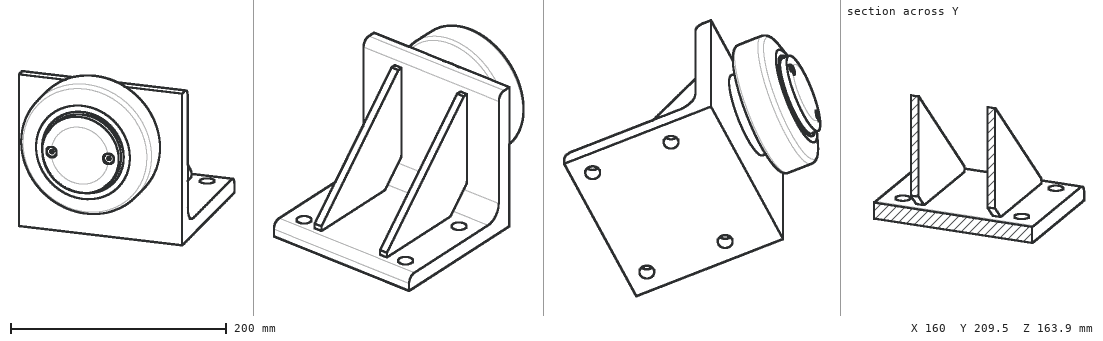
import cadquery as cq
import math

bracket_width = 160.0
leg_length = 150.0
leg_thickness = 16.0
root_radius = 16.0
toe_radius = 8.0

mount_hole_diameter = 13.84
mount_hole_spacing_x = 120.0
mount_hole_spacing_y = 80.0
mount_hole_first_y = 50.0

rib_thickness = 8.0
rib_center_x = 38.7
rib_leg = 120.0
rib_nose = 5.0
rib_corner_cut = 25.0

axis_height = 100.0
hub_diameter = 80.0
hub_front = 51.0
roller_back = 13.6
roller_front = 50.4
roller_radius = 63.89
crown_radius = 500.0
crown_center_station = 28.5
back_edge_radius = 3.0
shoulder_edge_radius = 4.8
face_radius = 46.0
cone_angle = math.radians(21.0)
rim_search_margin = 0.1

cap_diameter = 75.0
cap_rim_station = 57.6
cap_front = 59.5
cap_flat_radius = 28.0

counterbore_diameter = 10.4
counterbore_depth = 4.0
screw_head_diameter = 9.75
screw_head_sink = 1.4
socket_width = 3.0
socket_depth = 2.0


def front_plane(station):
    """Plane facing -Y on the roller axis, the given distance in front of the bracket."""
    return cq.Workplane("XZ", origin=(0, -station, axis_height))


def side_plane(center_x, thickness):
    """YZ plane placed so that an extrusion of the thickness is centred on center_x."""
    return cq.Workplane("YZ", origin=(center_x - thickness / 2, 0, 0))


def make_angle():
    outline = (
        side_plane(0, bracket_width)
        .moveTo(0, 0)
        .lineTo(leg_length, 0)
        .lineTo(leg_length, leg_thickness)
        .lineTo(leg_thickness, leg_thickness)
        .lineTo(leg_thickness, leg_length)
        .lineTo(0, leg_length)
        .close()
    )
    angle = outline.extrude(bracket_width)

    def long_edge(y, z):
        return cq.selectors.NearestToPointSelector((0, y, z))

    angle = angle.edges(long_edge(leg_thickness, leg_thickness)).fillet(root_radius)
    angle = angle.edges(long_edge(leg_length, leg_thickness)).fillet(toe_radius)
    return angle.edges(long_edge(leg_thickness, leg_length)).fillet(toe_radius)


def make_mount_holes():
    return (
        cq.Workplane("XY")
        .center(0, mount_hole_first_y + mount_hole_spacing_y / 2)
        .rect(mount_hole_spacing_x, mount_hole_spacing_y, forConstruction=True)
        .vertices()
        .circle(mount_hole_diameter / 2)
        .extrude(leg_thickness)
    )


def make_rib(center_x):
    inner = leg_thickness
    outer = leg_thickness + rib_leg
    return (
        side_plane(center_x, rib_thickness)
        .moveTo(inner + rib_corner_cut, inner)
        .lineTo(outer, inner)
        .lineTo(outer, inner + rib_nose)
        .lineTo(inner + rib_nose, outer)
        .lineTo(inner, outer)
        .lineTo(inner, inner + rib_corner_cut)
        .close()
        .extrude(rib_thickness)
    )


def make_hub():
    """Cylinder from the bracket face through the roller to its proud front face."""
    return front_plane(0).circle(hub_diameter / 2).extrude(hub_front)


def crown_radius_at(station):
    """Roller radius on the crowned tread at a station."""
    offset = station - crown_center_station
    return roller_radius - crown_radius + math.sqrt(crown_radius**2 - offset**2)


def make_roller():
    cone_length = (roller_radius - face_radius) * math.tan(cone_angle)
    cone_back = roller_front - cone_length
    tread_back_radius = crown_radius_at(roller_back)
    tread_front_radius = crown_radius_at(cone_back)
    profile = (
        cq.Workplane("XY")
        .moveTo(0, -roller_back)
        .lineTo(tread_back_radius, -roller_back)
        .threePointArc((roller_radius, -crown_center_station), (tread_front_radius, -cone_back))
        .lineTo(face_radius, -roller_front)
        .lineTo(0, -roller_front)
        .close()
    )
    roller = profile.revolve(360, (0, 0, 0), (0, 1, 0))

    def rim_edge(station):
        low_corner = (-roller_radius, -station - rim_search_margin, -roller_radius)
        high_corner = (roller_radius, -station + rim_search_margin, roller_radius)
        return cq.selectors.BoxSelector(low_corner, high_corner)

    roller = roller.edges(rim_edge(roller_back)).fillet(back_edge_radius)
    roller = roller.edges(rim_edge(cone_back)).fillet(shoulder_edge_radius)
    return roller.translate((0, 0, axis_height))


def make_cap():
    profile = (
        cq.Workplane("XY")
        .moveTo(0, -hub_front)
        .lineTo(cap_diameter / 2, -hub_front)
        .lineTo(cap_diameter / 2, -cap_rim_station)
        .lineTo(cap_flat_radius, -cap_front)
        .lineTo(0, -cap_front)
        .close()
    )
    return profile.revolve(360, (0, 0, 0), (0, 1, 0)).translate((0, 0, axis_height))


def at_screws(plane):
    return plane.pushPoints([(-cap_flat_radius, 0), (cap_flat_radius, 0)])


def make_counterbores():
    plane = front_plane(cap_front - counterbore_depth)
    return at_screws(plane).circle(counterbore_diameter / 2).extrude(counterbore_depth)


def make_screw_heads():
    head_height = counterbore_depth - screw_head_sink
    socket_corner_diameter = socket_width / math.cos(math.pi / 6)
    base = front_plane(cap_front - counterbore_depth)
    heads = at_screws(base).circle(screw_head_diameter / 2).extrude(head_height)
    socket_floor = front_plane(cap_front - screw_head_sink - socket_depth)
    sockets = at_screws(socket_floor).polygon(6, socket_corner_diameter).extrude(socket_depth)
    return heads.cut(sockets)


bracket = make_angle().cut(make_mount_holes())
for rib_x in (-rib_center_x, rib_center_x):
    bracket = bracket.union(make_rib(rib_x))

roller_unit = make_hub().union(make_roller()).union(make_cap())
roller_unit = roller_unit.cut(make_counterbores()).union(make_screw_heads())

result = bracket.union(roller_unit)